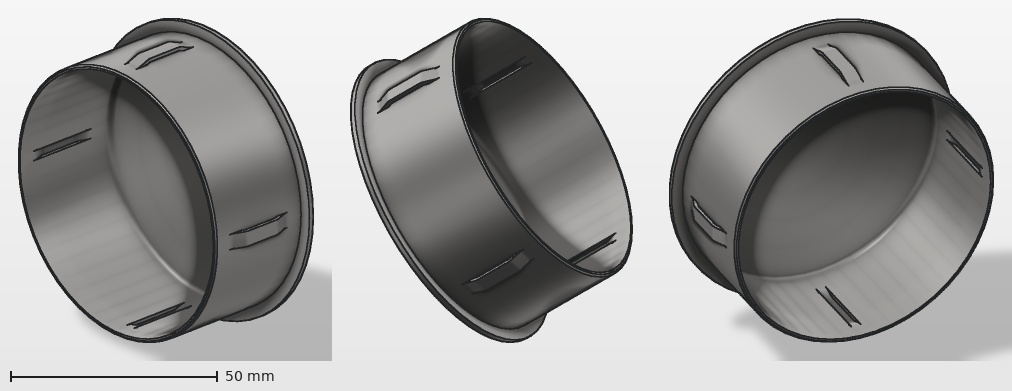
import cadquery as cq
import math

flange_radius = 38.05
flange_thickness = 1.3
dome_height = 9.0
dome_thickness = 1.5

wall_radius = 35.1
wall_thickness = 1.0
wall_length = 28.2
rim_chamfer = 0.45
corner_fillet = 2.0

clip_width = 4.0
slot_width = 2.5
clip_rise = 1.45
clip_length = 18.95
clip_crest_length = 9.05
clip_bend_radius = 3.0

inner_radius = wall_radius - wall_thickness
dome_apex = flange_thickness + dome_height
dome_radius = (flange_radius**2 + dome_height**2) / (2 * dome_height)
dome_center = dome_apex - dome_radius


def dome_point(sphere_radius, distance):
    """Point of a sphere about the dome centre, at a distance from the Y axis."""
    return distance, dome_center + math.sqrt(sphere_radius**2 - distance**2)


def circle_point(center, radius, angle):
    """Point of a circle at an angle from the X direction."""
    return center[0] + radius * math.cos(angle), center[1] + radius * math.sin(angle)


def spin(profile):
    """Revolve an outline drawn in the XY plane around the Y axis."""
    return profile.revolve(360, (0, 0, 0), (0, 1, 0))


def make_shell():
    outside = spin(
        cq.Workplane("XY")
        .moveTo(0, -wall_length)
        .lineTo(wall_radius - rim_chamfer, -wall_length)
        .lineTo(wall_radius, rim_chamfer - wall_length)
        .lineTo(wall_radius, 0)
        .lineTo(flange_radius, 0)
        .lineTo(flange_radius, flange_thickness)
        .threePointArc(dome_point(dome_radius, flange_radius / 2), (0, dome_apex))
        .close()
    )

    cavity_sphere = dome_radius - dome_thickness
    fillet_x = inner_radius - corner_fillet
    fillet_y = dome_point(cavity_sphere - corner_fillet, fillet_x)[1]
    tilt = math.atan2(fillet_y - dome_center, fillet_x)

    fillet_center = (fillet_x, fillet_y)
    fillet_middle = circle_point(fillet_center, corner_fillet, tilt / 2)
    fillet_end = circle_point(fillet_center, corner_fillet, tilt)
    cavity = spin(
        cq.Workplane("XY")
        .moveTo(0, -wall_length)
        .lineTo(inner_radius, -wall_length)
        .lineTo(inner_radius, fillet_y)
        .threePointArc(fillet_middle, fillet_end)
        .threePointArc(
            dome_point(cavity_sphere, fillet_end[0] / 2),
            (0, dome_center + cavity_sphere),
        )
        .close()
    )
    return outside.cut(cavity)


def make_cross(width):
    """Crossed bars along X and Z that cover the four clip positions."""
    reach = 2 * flange_radius
    bars = cq.Workplane("XY").box(reach, clip_length, width)
    bars = bars.union(cq.Workplane("XY").box(width, clip_length, reach))
    return bars.translate((0, -wall_length / 2, 0))


def make_clip_ring():
    """Full ring with the bent section of the clips, centred along the wall."""
    run = (clip_length - clip_crest_length) / 2
    lift = 2 * clip_bend_radius - clip_rise
    ramp = math.sqrt(run**2 + lift**2 - (2 * clip_bend_radius)**2)
    angle = math.atan2(run, lift) - math.atan2(ramp, 2 * clip_bend_radius)

    foot_center = (wall_radius + clip_bend_radius, clip_length / 2)
    crest_center = (wall_radius + clip_rise - clip_bend_radius, clip_crest_length / 2)

    def half_surface(depth):
        """Crest-to-foot points of the strip surface lying a depth below the outer one."""
        turns = (0, angle / 2, angle)
        crest = [circle_point(crest_center, clip_bend_radius - depth, turn) for turn in turns]
        foot = [circle_point(foot_center, clip_bend_radius + depth, math.pi + turn) for turn in turns]
        return crest + foot[::-1]

    def mirrored(points):
        return [(x, -y) for x, y in points]

    def trace(profile, points):
        """Draw bend, ramp and bend, starting from the first of the six points."""
        profile = profile.threePointArc(points[1], points[2]).lineTo(*points[3])
        return profile.threePointArc(points[4], points[5])

    outer = half_surface(0)
    inner = half_surface(wall_thickness)
    profile = cq.Workplane("XY").moveTo(*outer[0])
    profile = trace(profile, outer).lineTo(*inner[-1])
    profile = trace(profile, inner[::-1]).lineTo(*mirrored(inner)[0])
    profile = trace(profile, mirrored(inner)).lineTo(*mirrored(outer)[-1])
    profile = trace(profile, mirrored(outer)[::-1]).close()
    return spin(profile).translate((0, -wall_length / 2, 0))


slotted_shell = make_shell().cut(make_cross(slot_width))
clips = make_clip_ring().intersect(make_cross(clip_width))
result = slotted_shell.union(clips)